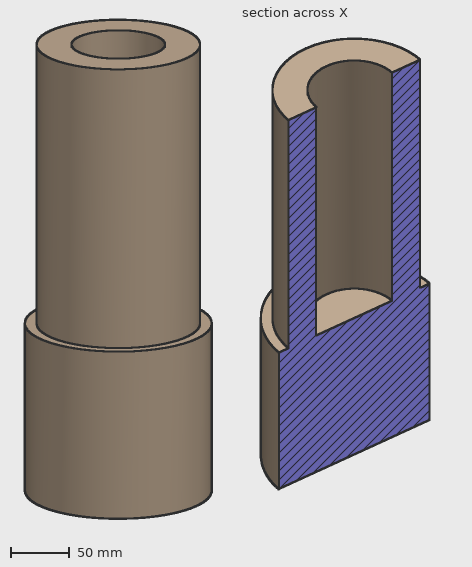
import cadquery as cq

total_height = 400.0
base_diameter = 160.0
base_height = 150.0
sleeve_diameter = 140.0
bore_diameter = 80.0
sleeve_height = total_height - base_height

base = cq.Workplane("XY").circle(base_diameter / 2).extrude(base_height)

sleeve = (
    cq.Workplane("XY")
    .workplane(offset=base_height)
    .circle(sleeve_diameter / 2)
    .circle(bore_diameter / 2)
    .extrude(sleeve_height)
)

result = base.union(sleeve)